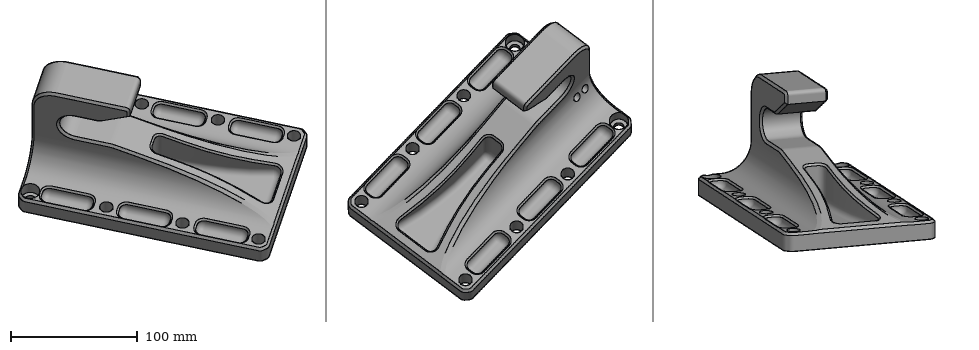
import cadquery as cq
import math

margin = 1.0

length = 205.0
width = 128.0
plate_height = 15.0
corner_cut = 5.0
corner_blend = 5.0
edge_chamfer = 2.0

total_height = 97.0
web_half_width = 18.0
web_blend = 25.0
hook_back_radius = 20.0
hook_reach = 80.0
tip_radius = 3.5
tip_lower_z = 87.0
jaw_angle = 30.0
jaw_blend = 10.0
slot_radius = 13.0
slot_center_x = 35.5
slot_center_z = 60.0
ramp_start_x = 65.8
ramp_end_z = 15.15
ramp_blend = 20.0

hole_spacing = 62.25
hole_row_y = 54.0
hole_columns = 4
clearance_diameter = 10.5
shoulder_diameter = 8.5
counterbore_diameter = 15.0
counterbore_depth = 11.0

pocket_spacing = 63.2
pocket_columns = 3
pocket_length = 41.6
pocket_width = 14.4
pocket_row_y = (51.8, -53.4)
pocket_floor_z = 7.0
pocket_radius = 5.5
rim_chamfer = 1.5
pattern_center_x = 102.0

flare_front_x = 94.7
flare_start_x = 117.0
flare_end_x = 195.5
flare_front_half_width = 8.9
flare_middle_half_width = 11.9
flare_end_half_width = 21.0
flare_floor_z = 8.0
flare_floor_radius = 5.49

bore_z = 30.0
bore_mouth_diameter = 24.5
bore_mouth_depth = 10.0
bore_diameter = 20.75
bore_depth = 40.0
drill_point_angle = 118.0
cross_hole_diameter = 6.65
cross_hole_x = (10.0, 20.0)


def cross_section():
    """Constant section in YZ: flat plate blending into a narrow upright web."""
    half = width / 2
    foot = web_half_width + web_blend
    blend_top = plate_height + web_blend
    sag = web_blend * (1 - math.sqrt(0.5))
    mid_y = web_half_width + sag
    mid_z = plate_height + sag
    return (
        cq.Workplane("YZ")
        .moveTo(-half, 0)
        .lineTo(half, 0)
        .lineTo(half, plate_height)
        .lineTo(foot, plate_height)
        .threePointArc((mid_y, mid_z), (web_half_width, blend_top))
        .lineTo(web_half_width, total_height)
        .lineTo(-web_half_width, total_height)
        .lineTo(-web_half_width, blend_top)
        .threePointArc((-mid_y, mid_z), (-foot, plate_height))
        .lineTo(-half, plate_height)
        .close()
        .extrude(length)
    )


def side_profile():
    """Hook, throat slot and descending ramp in XZ, extruded over the full width."""
    slot_top = slot_center_z + slot_radius
    slot_floor = slot_center_z - slot_radius
    jaw_start_x = hook_reach - (tip_lower_z - slot_top) / math.tan(math.radians(jaw_angle))
    body = (
        cq.Workplane("XZ", origin=(0, width / 2, 0))
        .lineTo(length, 0)
        .lineTo(length, ramp_end_z)
        .lineTo(ramp_start_x, slot_floor)
        .lineTo(slot_center_x, slot_floor)
        .threePointArc((slot_center_x - slot_radius, slot_center_z), (slot_center_x, slot_top))
        .lineTo(jaw_start_x, slot_top)
        .lineTo(hook_reach, tip_lower_z)
        .lineTo(hook_reach, total_height)
        .lineTo(0, total_height)
        .close()
        .extrude(width)
    )

    def edge_at(x, z):
        return cq.selectors.BoxSelector(
            (x - margin, -width, z - margin), (x + margin, width, z + margin))

    body = body.edges(edge_at(0, total_height)).fillet(hook_back_radius)
    body = body.edges(edge_at(hook_reach, total_height)).fillet(tip_radius)
    body = body.edges(edge_at(jaw_start_x, slot_top)).fillet(jaw_blend)
    return body.edges(edge_at(ramp_start_x, slot_floor)).fillet(ramp_blend)


def plate_outline():
    return (
        cq.Workplane("XY")
        .rect(length, width)
        .extrude(total_height)
        .translate((length / 2, 0, 0))
        .edges("|Z")
        .chamfer(corner_cut)
        .edges("|Z")
        .fillet(corner_blend)
    )


def centered_positions(count, spacing):
    """X positions of an evenly spaced row about the pattern center."""
    first = pattern_center_x - spacing * (count - 1) / 2
    return [first + spacing * index for index in range(count)]


def chamfer_outer_edges(body):
    """Bevel the two edge chains: hook, web and plate first, then hook underside, throat and ramp."""
    web_front_edges = cq.selectors.BoxSelector(
        (-margin, -web_half_width - margin, plate_height + web_blend),
        (margin, web_half_width + margin, total_height))
    body = body.edges(web_front_edges).edges("|Z").chamfer(edge_chamfer)
    ramp_edges = cq.selectors.BoxSelector(
        (ramp_start_x + edge_chamfer, -width, plate_height),
        (length + margin, width, plate_height + web_blend + margin), boundingbox=True)
    body = body.edges(ramp_edges).edges("%ELLIPSE").chamfer(edge_chamfer)
    return body.cut(ramp_end_bevel())


def ramp_end_bevel():
    """Wedge that bevels the low end of the ramp."""
    ramp_drop = slot_center_z - slot_radius - ramp_end_z
    angle = math.atan2(ramp_drop, length - ramp_start_x)
    bevel_x = length - edge_chamfer * math.cos(angle)
    bevel_z = ramp_end_z + edge_chamfer * math.sin(angle)
    return (
        cq.Workplane("XZ", origin=(0, width / 2, 0))
        .moveTo(length, ramp_end_z - edge_chamfer)
        .lineTo(bevel_x, bevel_z)
        .lineTo(length, total_height)
        .close()
        .extrude(width)
    )


def drill_vertical(body, diameter, x_positions):
    points = [(x, side * hole_row_y) for x in x_positions for side in (-1, 1)]
    drills = (
        cq.Workplane("XY")
        .pushPoints(points)
        .circle(diameter / 2)
        .extrude(plate_height + margin)
    )
    return body.cut(drills)


def cut_mounting_holes(body):
    columns = centered_positions(hole_columns, hole_spacing)
    front_column = columns[:1]
    body = drill_vertical(body, clearance_diameter, columns[1:])
    body = drill_vertical(body, shoulder_diameter, front_column)
    counterbores = (
        cq.Workplane("XY", origin=(0, 0, plate_height - counterbore_depth))
        .pushPoints([(front_column[0], side * hole_row_y) for side in (-1, 1)])
        .circle(counterbore_diameter / 2)
        .extrude(counterbore_depth + margin)
    )
    return body.cut(counterbores)


def cut_flange_pockets(body):
    """Pockets with rounded corners and floor edges and a bevelled rim."""
    depth = plate_height - pocket_floor_z
    pocket = (
        cq.Workplane("XY")
        .box(pocket_length, pocket_width, depth + margin, centered=(True, True, False))
        .edges("|Z or <Z")
        .fillet(pocket_radius)
    )
    rim = (
        cq.Workplane("XY", origin=(0, 0, depth - rim_chamfer))
        .rect(pocket_length + 2 * rim_chamfer, pocket_width + 2 * rim_chamfer)
        .extrude(rim_chamfer + margin)
        .edges("|Z")
        .fillet(pocket_radius + rim_chamfer)
        .faces("<Z")
        .chamfer(rim_chamfer)
    )
    tool = pocket.union(rim)
    for x in centered_positions(pocket_columns, pocket_spacing):
        for y in pocket_row_y:
            body = body.cut(tool.translate((x, y, pocket_floor_z)))
    return body


def flared_outline():
    middle_x = (flare_start_x + flare_end_x) / 2
    return (
        cq.Workplane("XY", origin=(0, 0, flare_floor_z))
        .moveTo(flare_front_x, -flare_front_half_width)
        .lineTo(flare_start_x, -flare_front_half_width)
        .threePointArc((middle_x, -flare_middle_half_width), (flare_end_x, -flare_end_half_width))
        .lineTo(flare_end_x, flare_end_half_width)
        .threePointArc((middle_x, flare_middle_half_width), (flare_start_x, flare_front_half_width))
        .lineTo(flare_front_x, flare_front_half_width)
        .close()
    )


def cut_ramp_pocket(body):
    """Flat-floored pocket whose sides flare out toward the low end of the ramp."""
    pocket = flared_outline().extrude(slot_center_z - flare_floor_z)
    pocket = pocket.edges("|Z").edges("<X or >X").fillet(pocket_radius)
    pocket = pocket.faces("<Z").edges().fillet(flare_floor_radius)
    body = body.cut(pocket)
    rim_edges = cq.selectors.BoxSelector(
        (flare_front_x - margin, -flare_end_half_width - margin, plate_height),
        (flare_end_x + margin, flare_end_half_width + margin, slot_center_z), boundingbox=True)
    return body.edges(rim_edges).edges("not |Z").chamfer(rim_chamfer)


def cut_bore(body):
    """Stepped blind bore with a conical drill point."""
    radius = bore_diameter / 2
    mouth_radius = bore_mouth_diameter / 2
    point_length = radius / math.tan(math.radians(drill_point_angle / 2))
    bore = (
        cq.Workplane("XY")
        .lineTo(0, mouth_radius)
        .lineTo(bore_mouth_depth, mouth_radius)
        .lineTo(bore_mouth_depth, radius)
        .lineTo(bore_depth, radius)
        .lineTo(bore_depth + point_length, 0)
        .close()
        .revolve(360, (0, 0, 0), (1, 0, 0))
        .translate((0, 0, bore_z))
    )
    cross_holes = (
        cq.Workplane("XZ", origin=(0, 0, bore_z))
        .pushPoints([(x, 0) for x in cross_hole_x])
        .circle(cross_hole_diameter / 2)
        .extrude(-width / 2)
    )
    return body.cut(bore).cut(cross_holes)


body = cross_section().intersect(side_profile()).intersect(plate_outline())
body = chamfer_outer_edges(body)
body = cut_mounting_holes(body)
body = cut_flange_pockets(body)
body = cut_ramp_pocket(body)
result = cut_bore(body)